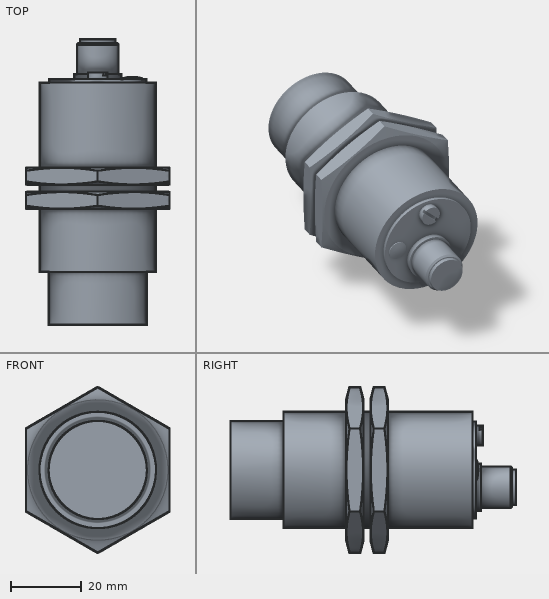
import cadquery as cq
import math


face_diameter, face_end = 28.0, 15.1
body_diameter, body_end = 33.25, 69.1
cap_diameter, cap_end = 27.8, 70.1
collar_diameter, collar_end = 13.5, 71.55
connector_diameter, connector_end = 12.0, 80.35
connector_chamfer = 0.5
tip_diameter, tip_end = 10.3, 81.5

nut_across_flats = 41.0
nut_across_corners = nut_across_flats / math.cos(math.radians(30))
nut_thickness = 5.0
nut_starts = (33.0, 39.9)
nut_face_diameter = 40.1
nut_chamfer_angle = 15.0

accessory_offset = 9.9
screw_diameter, screw_end = 5.7, 72.05
slot_width, slot_depth = 1.0, 1.0
slot_angle = 45.0
lamp_diameter = 5.5
lamp_rim_height = 0.25
lamp_dome_height = 0.4

connector_z = -accessory_offset / 2


def cylinder(diameter, start, end, z=0):
    """Solid cylinder parallel to Y between two Y positions."""
    axis_start = cq.Vector(0, start, z)
    solid = cq.Solid.makeCylinder(diameter / 2, end - start, axis_start, cq.Vector(0, 1, 0))
    return cq.Workplane(obj=solid)


def lock_nut(start):
    """Hexagon with corners on Z, bevelled by a cone on both faces."""
    corner_radius = nut_across_corners / 2
    face_radius = nut_face_diameter / 2
    bevel = (corner_radius - face_radius) * math.tan(math.radians(nut_chamfer_angle))
    end = start + nut_thickness
    hexagon = (
        cq.Workplane("XZ", origin=(0, start, 0))
        .transformed(rotate=(0, 0, 90))
        .polygon(6, nut_across_corners)
        .extrude(-nut_thickness)
    )
    bevelled_disc = (
        cq.Workplane("XY")
        .moveTo(0, start)
        .lineTo(face_radius, start)
        .lineTo(corner_radius, start + bevel)
        .lineTo(corner_radius, end - bevel)
        .lineTo(face_radius, end)
        .lineTo(0, end)
        .close()
        .revolve(360, (0, 0, 0), (0, 1, 0))
    )
    return hexagon.intersect(bevelled_disc)


def adjustment_screw():
    """Screw head above the connector, with a diagonal driver slot."""
    head = cylinder(screw_diameter, body_end, screw_end, z=accessory_offset)
    slot = (
        cq.Workplane("XY")
        .box(2 * screw_diameter, 2 * slot_depth, slot_width)
        .rotate((0, 0, 0), (0, 1, 0), -slot_angle)
        .translate((0, screw_end, accessory_offset))
    )
    return head.cut(slot)


def indicator_lamp():
    """Low rim with a shallow domed lens, beside the connector."""
    radius = lamp_diameter / 2
    rim = cap_end + lamp_rim_height
    crown = rim + lamp_dome_height
    sphere_radius = (radius**2 + lamp_dome_height**2) / (2 * lamp_dome_height)
    mid_angle = math.asin(radius / sphere_radius) / 2
    mid_drop = sphere_radius * (1 - math.cos(mid_angle))
    return (
        cq.Workplane("XY")
        .moveTo(0, body_end)
        .lineTo(radius, body_end)
        .lineTo(radius, rim)
        .threePointArc((sphere_radius * math.sin(mid_angle), crown - mid_drop), (0, crown))
        .close()
        .revolve(360, (0, 0, 0), (0, 1, 0))
        .translate((accessory_offset, 0, 0))
    )


result = cylinder(face_diameter, 0, face_end)
result = result.union(cylinder(body_diameter, face_end, body_end))
result = result.union(cylinder(cap_diameter, body_end, cap_end))

connector = cylinder(connector_diameter, collar_end, connector_end, z=connector_z)
connector = connector.faces(">Y").chamfer(connector_chamfer)
result = result.union(cylinder(collar_diameter, cap_end, collar_end, z=connector_z))
result = result.union(connector)
result = result.union(cylinder(tip_diameter, connector_end, tip_end, z=connector_z))

for nut_start in nut_starts:
    result = result.union(lock_nut(nut_start))

result = result.union(adjustment_screw())
result = result.union(indicator_lamp())